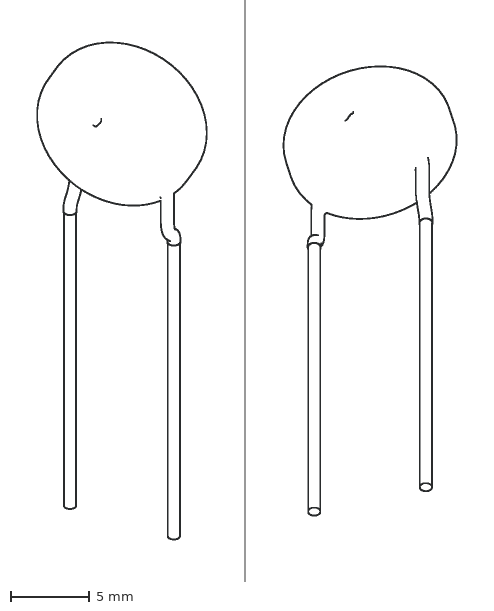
import cadquery as cq
import math

disc_diameter = 11.0
disc_thickness = 3.42
rim_radius = 1.0

coating_diameter = 0.85
lead_x = 3.75
overall_depth = 3.85
tip_x = -0.9
tip_z = 0.85
face_slope = 40.0
bend_radius = 1.73
kink_start_z = -5.7
kink_angle = 57.0
coating_end_straight = 0.18

wire_diameter = 0.8
overall_height = 36.0

blend_radius = 0.18

upper_y = -(overall_depth - coating_diameter) / 2
wire_y = -wire_diameter / 2
bottom_z = disc_diameter / 2 - overall_height


def make_disc():
    back_plane = cq.Workplane("XZ", origin=(0, disc_thickness / 2, 0))
    disc = back_plane.circle(disc_diameter / 2).extrude(disc_thickness)
    return disc.edges("%CIRCLE").fillet(rim_radius)


def make_lead():
    """Front lead: diagonal across the disc face, down past the rim, then a kink back to the mid-plane."""
    slope = math.radians(face_slope)
    along_face = cq.Vector(math.cos(slope), 0, -math.sin(slope))
    down = cq.Vector(0, 0, -1)

    tip = cq.Vector(tip_x, upper_y, tip_z)
    corner = tip + along_face * ((lead_x - tip_x) / math.cos(slope))
    tangent_length = bend_radius * math.tan((math.pi / 2 - slope) / 2)
    bend_start = corner - along_face * tangent_length
    bend_end = corner + down * tangent_length

    kink = math.radians(kink_angle)
    inward_radius = (wire_y - upper_y) / (1 - math.cos(kink)) - bend_radius
    kink_direction = cq.Vector(0, math.sin(kink), -math.cos(kink))
    kink_start = cq.Vector(lead_x, upper_y, kink_start_z)

    arc_step = cq.Vector(0, 1 - math.cos(kink), -math.sin(kink))
    kink_middle = kink_start + arc_step * bend_radius
    kink_end = kink_middle + arc_step * inward_radius
    coating_end = kink_end + down * coating_end_straight

    path = cq.Wire.assembleEdges([
        cq.Edge.makeLine(tip, bend_start),
        cq.Edge.makeTangentArc(bend_start, along_face, bend_end),
        cq.Edge.makeLine(bend_end, kink_start),
        cq.Edge.makeTangentArc(kink_start, down, kink_middle),
        cq.Edge.makeTangentArc(kink_middle, kink_direction, kink_end),
        cq.Edge.makeLine(kink_end, coating_end),
    ])
    tip_plane = cq.Plane(origin=tip, xDir=(0, 1, 0), normal=along_face)
    coating = cq.Workplane(tip_plane).circle(coating_diameter / 2).sweep(path)

    wire_plane = cq.Workplane("XY", origin=coating_end)
    wire = wire_plane.circle(wire_diameter / 2).extrude(bottom_z - coating_end.z)
    return coating.union(wire)


def blend_lead(part, side):
    """Fillet along the lead on the disc face at Y = side * disc_thickness / 2.

    The straight outline edges are picked; the fillet follows the tangent edges around the bend and rim.
    """
    face_y = side * disc_thickness / 2
    reach = disc_diameter / 2
    margin = blend_radius / 10
    near_face = cq.selectors.BoxSelector(
        (-reach, face_y - margin, -reach),
        (reach, face_y + margin, reach),
    )
    return part.edges("%LINE").edges(near_face).fillet(blend_radius)


front_lead = make_lead()
back_lead = front_lead.rotate((0, 0, 0), (0, 0, 1), 180)

body = make_disc().union(front_lead).union(back_lead)

result = blend_lead(blend_lead(body, -1), 1)